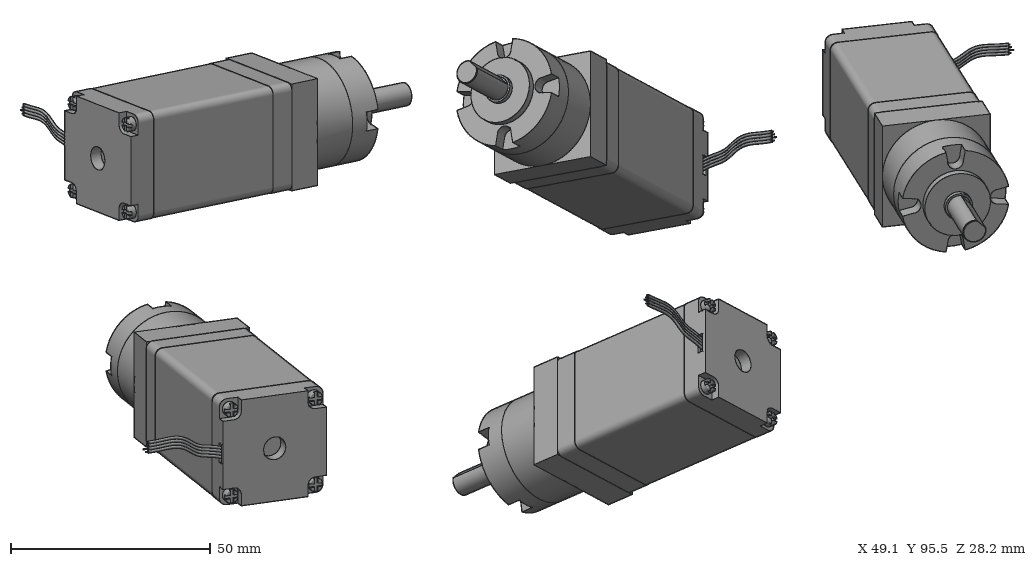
import cadquery as cq


REAR_CAP_END = 7.2
FRONT_CAP_START = 44.2
MOTOR_END = 50.0
FLANGE_END = 58.1
RING_END = 68.95
COVER_END = 77.0
BOSS_END = 79.0
COLLAR_END = 80.2
SHAFT_END = 95.5

CAP_SIZE = 28.2
STACK_SIZE = 28.0
CAP_CORNER_RADIUS = 2.0
STACK_CORNER_RADIUS = CAP_CORNER_RADIUS - (CAP_SIZE - STACK_SIZE) / 2
REAR_HOLE_DIAMETER = 6.0
REAR_HOLE_DEPTH = 3.2

SCREW_OFFSET = 11.5
POCKET_OFFSET = 9.1
POCKET_DEPTH = 2.3
POCKET_CORNER_RADIUS = 2.0
SCREW_HEAD_RADIUS = 1.8
SCREW_HEAD_HEIGHT = 2.0
SCREW_RIM_FILLET = 0.3
CROSS_SLOT_WIDTH = 1.0
CROSS_SLOT_DEPTH = 0.7

WIRE_Y = 1.7
WINDOW_WIDTH = 1.4
WINDOW_HEIGHT = 5.1
WINDOW_DEPTH = 1.0
WIRE_PITCH = 0.81
WIRE_RADIUS = 0.4
WIRE_ROOT_DEPTH = 0.5
CORE_RADIUS = 0.14
CORE_LENGTHS = (0.4, 0.8, 1.3, 0.7)
OVERALL_WIDTH = 49.1
INSULATION_END_X = max(CORE_LENGTHS) + CAP_SIZE / 2 - OVERALL_WIDTH
WIRE_PATH = [
    (INSULATION_END_X, 4.3),
    (-29.7, 4.5),
    (-26.2, 4.6),
    (-24.0, 4.0),
    (-21.5, 2.5),
    (-19.7, 1.5),
    (-17.5, 1.05),
    (-CAP_SIZE / 2, 0.3),
    (-CAP_SIZE / 2 + WINDOW_DEPTH + WIRE_ROOT_DEPTH, 0),
]

GEARBOX_SIZE = 28.0
BOSS_RADIUS = 8.5
NOTCH_COUNT = 4
NOTCH_DEPTH = 3.5
NOTCH_CENTER_RADIUS = 11.0
NOTCH_FLOOR_RADIUS = 2.0
NOTCH_MOUTH_WIDTH = 5.1

SHAFT_DIAMETER = 6.0
SHAFT_RADIUS = SHAFT_DIAMETER / 2
COLLAR_RADIUS = 3.5
SHAFT_FLAT_DISTANCE = 2.5
SHAFT_FLAT_LENGTH = 15.0
SHAFT_FLAT_TILT = 45
SHAFT_TIP_CHAMFER = 0.2


def section_plane(y):
    """Plane across the axis whose local axes are X and Z."""
    return cq.Workplane("XZ", origin=(0, y, 0))


def cylinder(radius, start, end):
    return section_plane(start).circle(radius).extrude(start - end)


def square_block(size, start, end):
    return section_plane(start).rect(size, size).extrude(start - end)


def rounded_block(size, corner_radius, start, end):
    return square_block(size, start, end).edges("|Y").fillet(corner_radius)


def corner_pocket(side_x, side_z):
    """Cutter that clears one rear corner, with a rounded inner edge."""
    half_size = CAP_SIZE / 2
    size = half_size - POCKET_OFFSET + POCKET_CORNER_RADIUS
    middle = POCKET_OFFSET + size / 2
    return (
        section_plane(0)
        .center(side_x * middle, side_z * middle)
        .rect(size, size)
        .extrude(-POCKET_DEPTH)
        .edges("|Y")
        .fillet(POCKET_CORNER_RADIUS)
    )


def screw_head(side_x, side_z):
    """Rounded screw head standing on a pocket floor, with a cross slot open to its sides."""
    head_end = POCKET_DEPTH - SCREW_HEAD_HEIGHT
    center = section_plane(head_end).center(side_x * SCREW_OFFSET, side_z * SCREW_OFFSET)
    head = center.circle(SCREW_HEAD_RADIUS).extrude(-SCREW_HEAD_HEIGHT)
    head = head.faces("<Y").edges().fillet(SCREW_RIM_FILLET)
    slot_length = 2 * SCREW_HEAD_RADIUS
    slot_across = center.rect(slot_length, CROSS_SLOT_WIDTH).extrude(-CROSS_SLOT_DEPTH)
    slot_upright = center.rect(CROSS_SLOT_WIDTH, slot_length).extrude(-CROSS_SLOT_DEPTH)
    return head.cut(slot_across).cut(slot_upright)


def wire(shift_z, core_length):
    """One insulated wire with a bare core at its free end."""
    points = [(x, z + shift_z) for x, z in WIRE_PATH]
    end_x, end_z = points[0]
    path = section_plane(WIRE_Y).spline(points, tangents=[(1, 0), (1, 0)])
    end_plane = cq.Workplane("YZ", origin=(end_x, WIRE_Y, end_z))
    insulation = end_plane.circle(WIRE_RADIUS).sweep(path)
    core = end_plane.circle(CORE_RADIUS).extrude(-core_length)
    return insulation.union(core)


def wire_window():
    return cq.Workplane("XY").box(WINDOW_DEPTH, WINDOW_WIDTH, WINDOW_HEIGHT).translate(
        (-(CAP_SIZE - WINDOW_DEPTH) / 2, WIRE_Y, 0)
    )


def make_motor():
    rear_cap = rounded_block(CAP_SIZE, CAP_CORNER_RADIUS, 0, REAR_CAP_END)
    stack = rounded_block(STACK_SIZE, STACK_CORNER_RADIUS, REAR_CAP_END, FRONT_CAP_START)
    front_cap = rounded_block(CAP_SIZE, CAP_CORNER_RADIUS, FRONT_CAP_START, MOTOR_END)
    body = rear_cap.union(stack).union(front_cap)
    body = body.cut(cylinder(REAR_HOLE_DIAMETER / 2, 0, REAR_HOLE_DEPTH))
    body = body.cut(wire_window())
    for side_x in (-1, 1):
        for side_z in (-1, 1):
            body = body.cut(corner_pocket(side_x, side_z))
            body = body.union(screw_head(side_x, side_z))
    middle_wire = (len(CORE_LENGTHS) - 1) / 2
    for index, core_length in enumerate(CORE_LENGTHS):
        body = body.union(wire((middle_wire - index) * WIRE_PITCH, core_length))
    return body


def make_gear_housing():
    """Square flange and round ring gear case."""
    flange = square_block(GEARBOX_SIZE, MOTOR_END, FLANGE_END)
    return flange.union(cylinder(GEARBOX_SIZE / 2, FLANGE_END, RING_END))


def rim_notch(angle):
    """Cutter for a notch with a round floor, widening towards the rim."""
    mouth_half = NOTCH_MOUTH_WIDTH / 2
    rim_radius = GEARBOX_SIZE / 2
    return (
        section_plane(COVER_END)
        .moveTo(rim_radius, mouth_half)
        .lineTo(NOTCH_CENTER_RADIUS, NOTCH_FLOOR_RADIUS)
        .threePointArc(
            (NOTCH_CENTER_RADIUS - NOTCH_FLOOR_RADIUS, 0),
            (NOTCH_CENTER_RADIUS, -NOTCH_FLOOR_RADIUS),
        )
        .lineTo(rim_radius, -mouth_half)
        .close()
        .extrude(NOTCH_DEPTH)
        .rotate((0, 0, 0), (0, 1, 0), angle)
    )


def make_front_cover():
    cover = cylinder(GEARBOX_SIZE / 2, RING_END, COVER_END)
    cover = cover.union(cylinder(BOSS_RADIUS, COVER_END, BOSS_END))
    for index in range(NOTCH_COUNT):
        cover = cover.cut(rim_notch(index * 360 / NOTCH_COUNT))
    return cover


def make_shaft():
    """D-shaped output shaft; its collar rests on the cover boss."""
    shaft = cylinder(SHAFT_RADIUS, COLLAR_END, SHAFT_END).faces(">Y").chamfer(SHAFT_TIP_CHAMFER)
    flat_cutter = (
        section_plane(SHAFT_END)
        .center(0, SHAFT_FLAT_DISTANCE + SHAFT_RADIUS / 2)
        .rect(2 * SHAFT_RADIUS, SHAFT_RADIUS)
        .extrude(SHAFT_FLAT_LENGTH)
        .rotate((0, 0, 0), (0, 1, 0), -SHAFT_FLAT_TILT)
    )
    return shaft.cut(flat_cutter).union(cylinder(COLLAR_RADIUS, BOSS_END, COLLAR_END))


motor = make_motor()
gear_housing = make_gear_housing()
front_cover = make_front_cover()
output_shaft = make_shaft()

result = cq.Compound.makeCompound(
    [motor.val(), gear_housing.val(), front_cover.val(), output_shaft.val()]
)